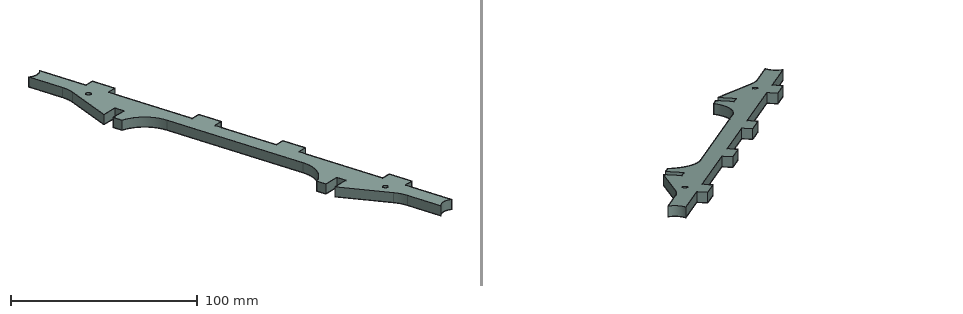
import cadquery as cq
import math

length = 272.2
width = 30.0
thickness = 6.0

tab_height = 6.0
beam_width = 9.8
tab_width = 15.0
tab_centers = (27.8, 98.0)
end_notch_depth = 2.0

web_arc_start = 45.0
leg_inner = 64.2
slot_inner = 70.2
slot_width = 6.0
slot_depth = 10.0
ramp_start = 113.8
ramp_radius = 20.1

hole_diameter = 3.0
hole_x = 98.0
hole_below_top = 14.0

half_length = length / 2
tab_top = width / 2
beam_top = tab_top - tab_height
beam_bottom = beam_top - beam_width
leg_bottom = -width / 2
leg_drop = beam_bottom - leg_bottom
slot_outer = slot_inner + slot_width

web_run = leg_inner - web_arc_start
web_radius = (web_run**2 + leg_drop**2) / (2 * leg_drop)
web_half_angle = math.asin(web_run / web_radius) / 2

ramp_run = ramp_start - slot_outer
a = 2 * ramp_radius - leg_drop
half_tan = (ramp_run - math.sqrt(ramp_run**2 - a * leg_drop)) / a
ramp_angle = 2 * math.atan(half_tan)


def arc_point(start_x, radius, angle, direction):
    """Point on an arc that leaves the beam underside at start_x and curves downward."""
    x = start_x + direction * radius * math.sin(angle)
    y = beam_bottom - radius * (1 - math.cos(angle))
    return x, y


def half_body():
    """Right half of the plate, with its leg and notched end."""
    notch_middle = (half_length - end_notch_depth, (beam_top + beam_bottom) / 2)
    return (
        cq.Workplane("XY")
        .moveTo(0, beam_top)
        .lineTo(0, beam_bottom)
        .lineTo(web_arc_start, beam_bottom)
        .threePointArc(
            arc_point(web_arc_start, web_radius, web_half_angle, 1),
            (leg_inner, leg_bottom),
        )
        .lineTo(slot_inner, leg_bottom)
        .lineTo(slot_inner, leg_bottom + slot_depth)
        .lineTo(slot_outer, leg_bottom + slot_depth)
        .lineTo(slot_outer, leg_bottom)
        .lineTo(*arc_point(ramp_start, ramp_radius, ramp_angle, -1))
        .threePointArc(
            arc_point(ramp_start, ramp_radius, ramp_angle / 2, -1),
            (ramp_start, beam_bottom),
        )
        .lineTo(half_length, beam_bottom)
        .threePointArc(notch_middle, (half_length, beam_top))
        .close()
        .extrude(thickness)
    )


def tabs():
    """Rectangular tabs of one half, reaching down through the beam."""
    tab_length = tab_top - beam_bottom
    return (
        cq.Workplane("XY")
        .pushPoints([(x, tab_top - tab_length / 2) for x in tab_centers])
        .rect(tab_width, tab_length)
        .extrude(thickness)
    )


def pin_hole():
    return (
        cq.Workplane("XY")
        .center(hole_x, tab_top - hole_below_top)
        .circle(hole_diameter / 2)
        .extrude(thickness)
    )


right_half = half_body().union(tabs()).cut(pin_hole())
result = right_half.union(right_half.mirror("YZ")).clean()